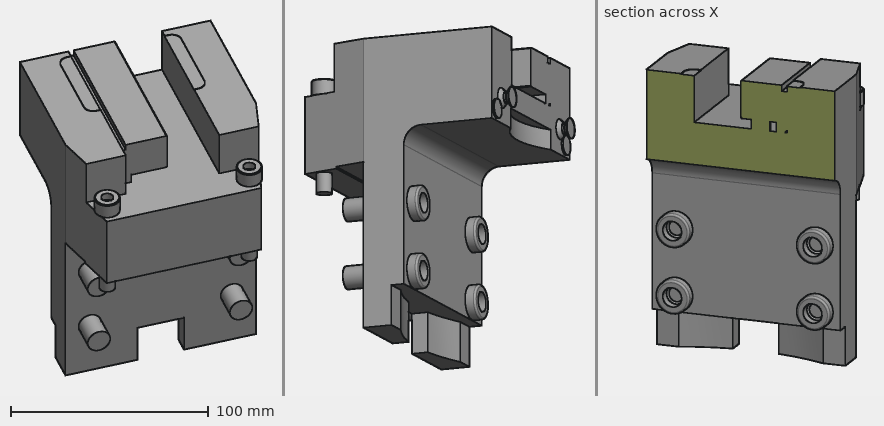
import cadquery as cq
import math


WIDTH = 102.0
HEIGHT = 150.0
HEAD_BOTTOM_Z = 102.5
WALL_FRONT_X = 48.25
WALL_BACK_X = 70.5
WALL_FILLET = 9.5
FOOT_FRONT_X = 55.0
FOOT_HEIGHT = 20.75

BACK_X = 106.5
BACK_TAPER_ANGLE = 15.0
REAR_BOTTOM_Z = 85.0
REAR_STEP_X = 87.25
REAR_STEP_HEIGHT = 1.0
SHOULDER_X = 88.5
CHANNEL_FLOOR_Z = 125.0
CHANNEL_HALF_WIDTH = 25.0

JAW_LENGTH = 80.5
JAW_BOTTOM_Z = 129.7
JAW_STEM_Y = -19.2
JAW_CHAMFER = 0.5
JAW_CORNER_CHAMFER = 1.0
JAW_GROOVE_WIDTH = 2.7
JAW_GROOVE_DEPTH = 3.2
JAW_PIN_DIAMETER = 10.3
JAW_PIN_Y = -10.7

RECESS_START_X = 4.0
RECESS_LENGTH = 45.6
RECESS_WIDTH = 64.5
RECESS_RADIUS = 5.0
RECESS_DEPTH = 0.3

CLEARANCE_AXIS_X = -42.6
HEAD_POCKET_HALF_WIDTH = 26.2
HEAD_POCKET_TOP_Z = 112.75
FOOT_CLEARANCE_HALF_WIDTH = 39.0
FOOT_SLOT_WIDTH = 24.8

SCREW_Y = 38.0
WALL_SCREW_Z = (29.9, 65.1)
WALL_SCREW_HEAD_RADIUS = 9.0
WALL_SCREW_HEAD_HEIGHT = 5.5
WALL_SCREW_HEAD_FILLET = 1.1
WALL_SCREW_SHANK_RADIUS = 6.0
WALL_SCREW_SHANK_LENGTH = 14.25
WALL_SOCKET_RADIUS = 5.1
WALL_SOCKET_FLOOR_RADIUS = 4.0
WALL_SOCKET_DEPTH = 6.0
WALL_SOCKET_CHAMFER_HEIGHT = 0.7

BLOCK_SCREW_X = 97.4
BLOCK_SCREW_HEAD_RADIUS = 6.5
BLOCK_SCREW_HEAD_HEIGHT = 8.0
BLOCK_SCREW_HEAD_CHAMFER = 0.5
BLOCK_SCREW_SHANK_RADIUS = 4.1
BLOCK_SCREW_SHANK_LENGTH = 10.25
BLOCK_SOCKET_RADIUS = 3.1
BLOCK_SOCKET_DEPTH = 4.0
BLOCK_SOCKET_POINT = 1.8

FRONT_SCREW_Z = 115.6
FRONT_SCREW_LENGTH = 6.05
FRONT_SCREW_RADIUS = 5.25
FRONT_SCREW_RIM = 0.4
FRONT_SCREW_CONE_HEIGHT = 2.2
FRONT_SCREW_NECK_RADIUS = 2.65
FRONT_DOME_HEIGHT = 2.1
FRONT_DOME_TOP_RADIUS = 2.9
FRONT_DOME_MIDDLE_HEIGHT = 1.25
FRONT_DOME_MIDDLE_RADIUS = 4.2

DISC_Y = 44.9
DISC_Z = 108.7
DISC_RADIUS = 5.0
DISC_THICKNESS = 0.9

HALF_WIDTH = WIDTH / 2
SIDES = (-1, 1)


def box(x_range, y_range, z_range):
    """Axis-aligned box between the given limits."""
    (x0, x1), (y0, y1), (z0, z1) = x_range, y_range, z_range
    return cq.Workplane("XY").box(x1 - x0, y1 - y0, z1 - z0, centered=False).translate((x0, y0, z0))


def turned_along_x(profile):
    """Solid turned about the X axis from (x, radius) points."""
    return cq.Workplane("XY").polyline(profile).close().revolve(360, (0, 0, 0), (1, 0, 0))


def turned_along_z(profile):
    """Solid turned about the Z axis from (radius, z) points."""
    return cq.Workplane("XZ").polyline(profile).close().revolve(360, (0, 0, 0), (0, 1, 0))


def make_bracket():
    """Head, wall and foot from the side profile."""
    profile = [
        (0, HEIGHT),
        (WALL_BACK_X, HEIGHT),
        (WALL_BACK_X, 0),
        (FOOT_FRONT_X, 0),
        (FOOT_FRONT_X, FOOT_HEIGHT),
        (WALL_FRONT_X, FOOT_HEIGHT),
        (WALL_FRONT_X, HEAD_BOTTOM_Z),
        (0, HEAD_BOTTOM_Z),
    ]
    bracket = cq.Workplane("XZ").polyline(profile).close().extrude(HALF_WIDTH, both=True)
    inner_corner = cq.selectors.NearestToPointSelector((WALL_FRONT_X, 0, HEAD_BOTTOM_Z))
    return bracket.edges("|Y").edges(inner_corner).fillet(WALL_FILLET)


def make_rear_block():
    """Block behind the wall: tapered in plan, with a low shoulder at the back."""
    inset = (BACK_X - WALL_BACK_X) * math.tan(math.radians(BACK_TAPER_ANGLE))
    back_half_width = HALF_WIDTH - inset
    plan = [
        (WALL_BACK_X, -HALF_WIDTH),
        (BACK_X, -back_half_width),
        (BACK_X, back_half_width),
        (WALL_BACK_X, HALF_WIDTH),
    ]
    block = (
        cq.Workplane("XY").workplane(offset=REAR_BOTTOM_Z)
        .polyline(plan).close().extrude(HEIGHT - REAR_BOTTOM_Z)
    )
    across = (-HALF_WIDTH, HALF_WIDTH)
    shoulder = box((SHOULDER_X, BACK_X), across, (CHANNEL_FLOOR_Z, HEIGHT))
    step = box((WALL_BACK_X, REAR_STEP_X), across, (REAR_BOTTOM_Z, REAR_BOTTOM_Z + REAR_STEP_HEIGHT))
    return block.cut(shoulder).cut(step)


def make_top_cuts():
    """Channel along X and the shallow recess on both sides of it."""
    channel = box((0, BACK_X), (-CHANNEL_HALF_WIDTH, CHANNEL_HALF_WIDTH), (CHANNEL_FLOOR_Z, HEIGHT))
    recess = (
        box(
            (RECESS_START_X, RECESS_START_X + RECESS_LENGTH),
            (-RECESS_WIDTH / 2, RECESS_WIDTH / 2),
            (HEIGHT - RECESS_DEPTH, HEIGHT),
        )
        .edges("|Z").fillet(RECESS_RADIUS)
    )
    return channel.union(recess)


def make_clearance(half_width, front_x, bottom_z, top_z):
    """Upright cylinder that cuts the face X = front_x over Y = +/- half_width."""
    radius = math.hypot(front_x - CLEARANCE_AXIS_X, half_width)
    return (
        cq.Workplane("XY").workplane(offset=bottom_z).center(CLEARANCE_AXIS_X, 0)
        .circle(radius).extrude(top_z - bottom_z)
    )


def make_front_cuts():
    """Curved pocket under the head, curved relief of the foot and the slot through the foot."""
    pocket = make_clearance(HEAD_POCKET_HALF_WIDTH, 0, HEAD_BOTTOM_Z, HEAD_POCKET_TOP_Z)
    relief = make_clearance(FOOT_CLEARANCE_HALF_WIDTH, FOOT_FRONT_X, 0, FOOT_HEIGHT)
    slot = box(
        (FOOT_FRONT_X, WALL_BACK_X),
        (-FOOT_SLOT_WIDTH / 2, FOOT_SLOT_WIDTH / 2),
        (0, FOOT_HEIGHT),
    )
    return pocket.union(relief).union(slot)


def make_jaw():
    """Overhanging clamp jaw against one channel wall, standing on a pin."""
    wall_y = -CHANNEL_HALF_WIDTH
    groove_y = wall_y + JAW_GROOVE_WIDTH
    groove_z = HEIGHT - JAW_GROOVE_DEPTH
    section = [
        (-JAW_CHAMFER, HEIGHT),
        (0, HEIGHT - JAW_CHAMFER),
        (0, JAW_BOTTOM_Z + JAW_CHAMFER),
        (-JAW_CHAMFER, JAW_BOTTOM_Z),
        (JAW_STEM_Y, JAW_BOTTOM_Z),
        (JAW_STEM_Y, CHANNEL_FLOOR_Z),
        (wall_y + JAW_CORNER_CHAMFER, CHANNEL_FLOOR_Z),
        (wall_y, CHANNEL_FLOOR_Z + JAW_CORNER_CHAMFER),
        (wall_y, groove_z),
        (groove_y, groove_z),
        (groove_y, HEIGHT),
    ]
    jaw = cq.Workplane("YZ").polyline(section).close().extrude(JAW_LENGTH)
    pin = (
        cq.Workplane("XY").workplane(offset=CHANNEL_FLOOR_Z).center(JAW_LENGTH / 2, JAW_PIN_Y)
        .circle(JAW_PIN_DIAMETER / 2).extrude(JAW_BOTTOM_Z - CHANNEL_FLOOR_Z)
    )
    return jaw.union(pin)


def make_wall_screw():
    """Cap screw through the wall, with its axis on X."""
    head_x = WALL_FRONT_X - WALL_SCREW_HEAD_HEIGHT
    end_x = WALL_BACK_X + WALL_SCREW_SHANK_LENGTH
    screw = turned_along_x([
        (head_x, 0),
        (head_x, WALL_SCREW_HEAD_RADIUS),
        (WALL_FRONT_X, WALL_SCREW_HEAD_RADIUS),
        (WALL_FRONT_X, WALL_SCREW_SHANK_RADIUS),
        (end_x, WALL_SCREW_SHANK_RADIUS),
        (end_x, 0),
    ])
    return screw.faces("<X").edges().fillet(WALL_SCREW_HEAD_FILLET)


def make_wall_socket():
    """Socket of a wall screw; its floor lies just behind the front of the wall."""
    head_x = WALL_FRONT_X - WALL_SCREW_HEAD_HEIGHT
    socket_x = head_x + WALL_SOCKET_DEPTH
    return turned_along_x([
        (head_x, 0),
        (head_x, WALL_SOCKET_RADIUS),
        (socket_x - WALL_SOCKET_CHAMFER_HEIGHT, WALL_SOCKET_RADIUS),
        (socket_x, WALL_SOCKET_FLOOR_RADIUS),
        (socket_x, 0),
    ])


def make_block_screw():
    """Cap screw through the rear block, with its axis on Z."""
    head_z = CHANNEL_FLOOR_Z + BLOCK_SCREW_HEAD_HEIGHT
    socket_z = head_z - BLOCK_SOCKET_DEPTH
    end_z = REAR_BOTTOM_Z - BLOCK_SCREW_SHANK_LENGTH
    return turned_along_z([
        (0, socket_z - BLOCK_SOCKET_POINT),
        (BLOCK_SOCKET_RADIUS, socket_z),
        (BLOCK_SOCKET_RADIUS, head_z),
        (BLOCK_SCREW_HEAD_RADIUS - BLOCK_SCREW_HEAD_CHAMFER, head_z),
        (BLOCK_SCREW_HEAD_RADIUS, head_z - BLOCK_SCREW_HEAD_CHAMFER),
        (BLOCK_SCREW_HEAD_RADIUS, CHANNEL_FLOOR_Z),
        (BLOCK_SCREW_SHANK_RADIUS, CHANNEL_FLOOR_Z),
        (BLOCK_SCREW_SHANK_RADIUS, end_z),
        (0, end_z),
    ])


def make_front_screw():
    """Domed screw head on the face, a neck, and a 45 degree cone flaring to the tip."""
    tip_x = -FRONT_SCREW_LENGTH
    rim_x = tip_x + FRONT_SCREW_RIM
    cone_end_radius = FRONT_SCREW_RADIUS - FRONT_SCREW_CONE_HEIGHT
    dome_middle = (-FRONT_DOME_MIDDLE_HEIGHT, FRONT_DOME_MIDDLE_RADIUS)
    profile = (
        cq.Workplane("XY").moveTo(tip_x, 0)
        .lineTo(tip_x, FRONT_SCREW_RADIUS)
        .lineTo(rim_x, FRONT_SCREW_RADIUS)
        .lineTo(rim_x + FRONT_SCREW_CONE_HEIGHT, cone_end_radius)
        .lineTo(rim_x + FRONT_SCREW_CONE_HEIGHT, FRONT_SCREW_NECK_RADIUS)
        .lineTo(-FRONT_DOME_HEIGHT, FRONT_SCREW_NECK_RADIUS)
        .lineTo(-FRONT_DOME_HEIGHT, FRONT_DOME_TOP_RADIUS)
        .threePointArc(dome_middle, (0, FRONT_SCREW_RADIUS))
        .lineTo(0, 0)
        .close()
    )
    return profile.revolve(360, (0, 0, 0), (1, 0, 0))


def make_disc():
    """Thin round plate on the front face of the head."""
    return cq.Workplane("YZ").circle(DISC_RADIUS).extrude(-DISC_THICKNESS)


body = make_bracket().union(make_rear_block())
body = body.cut(make_top_cuts()).cut(make_front_cuts())
body = body.union(make_jaw())

for side in SIDES:
    for screw_z in WALL_SCREW_Z:
        wall_screw_place = (0, side * SCREW_Y, screw_z)
        body = body.union(make_wall_screw().translate(wall_screw_place))
        body = body.cut(make_wall_socket().translate(wall_screw_place))
    body = body.union(make_block_screw().translate((BLOCK_SCREW_X, side * SCREW_Y, 0)))
    body = body.union(make_front_screw().translate((0, side * SCREW_Y, FRONT_SCREW_Z)))
    body = body.union(make_disc().translate((0, side * DISC_Y, DISC_Z)))

result = body